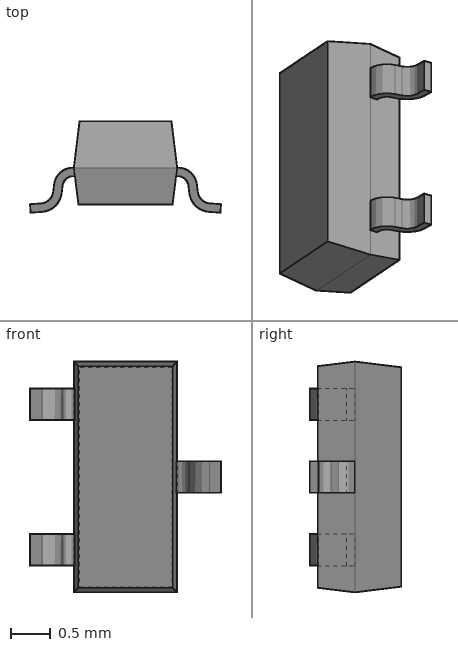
import cadquery as cq
import math

housing_width = 1.3
housing_height = 2.9
back_depth = 0.583
front_depth = 0.467
draft_angle = 7.0

lead_span = 2.4
lead_width = 0.4
lead_thickness = 0.11
lead_pitch = 1.827
lead_depth = 0.568
upper_outer_radius = 0.24
lower_inner_radius = 0.162
web_tilt = 7.0
foot_tilt = 4.0
foot_length = 0.142


def make_drafted_block(depth):
    """Block from the parting plane toward -Y, narrowing with the draft."""
    outline = cq.Workplane("XZ").rect(housing_width, housing_height)
    return outline.extrude(depth, taper=draft_angle)


def make_housing():
    """Front and back blocks sharing the parting plane, joined into one body."""
    front = make_drafted_block(front_depth)
    back = make_drafted_block(back_depth).mirror("XZ")
    return front.union(back)


def polar(centre, radius, angle):
    """Point at a distance and angle in degrees from a centre."""
    turn = math.radians(angle)
    return (centre[0] + radius * math.cos(turn), centre[1] + radius * math.sin(turn))


def make_right_lead(housing, z_centre):
    """Constant-thickness S-shaped strip on the +X side, fitted against the housing."""
    upper_inner_radius = upper_outer_radius - lead_thickness
    lower_outer_radius = lower_inner_radius + lead_thickness

    web_normal = web_tilt
    upper_mid = (90 + web_normal) / 2
    lower_start = 180 + web_normal
    lower_end = 270 - foot_tilt
    lower_mid = (lower_start + lower_end) / 2
    foot_direction = -foot_tilt

    tip_top = (lead_span / 2,
               lead_thickness * math.cos(math.radians(foot_tilt)) - lead_depth)
    tip_bottom = polar(tip_top, lead_thickness, lower_end)
    foot_top = polar(tip_top, -foot_length, foot_direction)
    foot_bottom = polar(tip_bottom, -foot_length, foot_direction)
    lower_centre = polar(foot_top, -lower_inner_radius, lower_end)

    web_start_y = -upper_outer_radius * (1 - math.sin(math.radians(web_tilt)))
    web_end = polar(lower_centre, lower_inner_radius, lower_start)
    web_start_x = web_end[0] - (web_start_y - web_end[1]) * math.tan(math.radians(web_tilt))
    upper_centre = (web_start_x - upper_outer_radius * math.cos(math.radians(web_tilt)),
                    -upper_outer_radius)

    root_x = housing_width / 2 - lead_thickness

    profile = (
        cq.Workplane("XY", origin=(0, 0, z_centre - lead_width / 2))
        .moveTo(root_x, 0)
        .lineTo(upper_centre[0], 0)
        .threePointArc(polar(upper_centre, upper_outer_radius, upper_mid),
                       polar(upper_centre, upper_outer_radius, web_normal))
        .lineTo(*web_end)
        .threePointArc(polar(lower_centre, lower_inner_radius, lower_mid), foot_top)
        .lineTo(*tip_top)
        .lineTo(*tip_bottom)
        .lineTo(*foot_bottom)
        .threePointArc(polar(lower_centre, lower_outer_radius, lower_mid),
                       polar(lower_centre, lower_outer_radius, lower_start))
        .lineTo(*polar(upper_centre, upper_inner_radius, web_normal))
        .threePointArc(polar(upper_centre, upper_inner_radius, upper_mid),
                       polar(upper_centre, upper_inner_radius, 90))
        .lineTo(root_x, -lead_thickness)
        .close()
    )
    return profile.extrude(lead_width).cut(housing)


def make_left_lead(housing, z_centre):
    """Mirror image of a right lead on the -X side."""
    return make_right_lead(housing, z_centre).mirror("YZ")


housing = make_housing()
leads = [make_right_lead(housing, 0)]
for z_centre in (-lead_pitch / 2, lead_pitch / 2):
    leads.append(make_left_lead(housing, z_centre))

result = cq.Compound.makeCompound([housing.solids().val(), *[lead.solids().val() for lead in leads]])